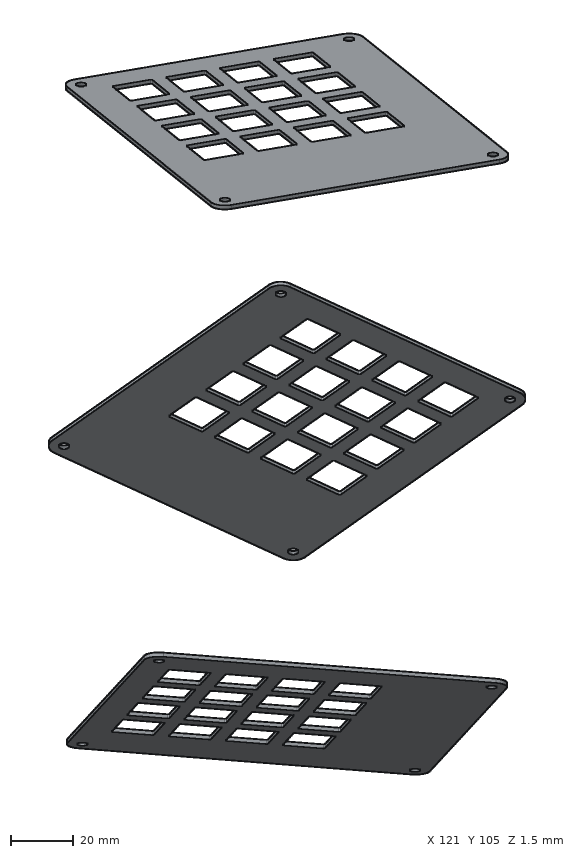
import cadquery as cq

plate_length = 121.0
plate_width = 105.0
plate_thickness = 1.5
corner_radius = 5.0

hole_diameter = 3.4
hole_spacing_x = plate_length - 2 * corner_radius
hole_spacing_y = plate_width - 2 * corner_radius

keys_per_side = 4
key_grid_span = 57.1
key_pitch = key_grid_span / (keys_per_side - 1)
key_size = 14.0
key_corner_radius = 0.5
key_grid_x = -14.4
key_grid_y = -3.5


def make_plate():
    """Flat rectangular plate with rounded corners."""
    blank = cq.Workplane("XY").box(plate_length, plate_width, plate_thickness)
    return blank.edges("|Z").fillet(corner_radius)


def make_mounting_holes():
    """Cutting cylinders for the four corner holes."""
    return (
        cq.Workplane("XY")
        .rect(hole_spacing_x, hole_spacing_y, forConstruction=True)
        .vertices()
        .circle(hole_diameter / 2)
        .extrude(plate_thickness, both=True)
    )


def make_key_cutouts():
    """Cutting blocks for the grid of square openings with softened corners."""
    return (
        cq.Workplane("XY")
        .center(key_grid_x, key_grid_y)
        .rarray(key_pitch, key_pitch, keys_per_side, keys_per_side)
        .rect(key_size, key_size)
        .extrude(plate_thickness, both=True)
        .edges("|Z")
        .fillet(key_corner_radius)
    )


result = make_plate().cut(make_mounting_holes()).cut(make_key_cutouts())